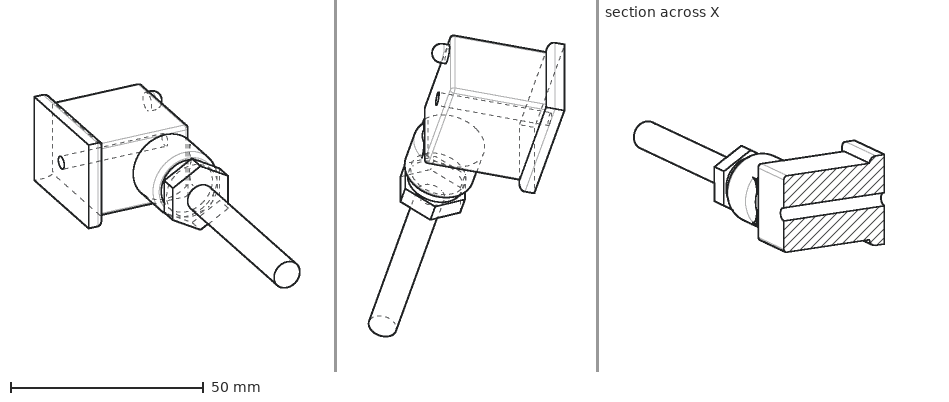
import cadquery as cq


plate_length = 31.5
plate_width = 24.2
plate_thickness = 4.5
plate_round = 1.9

housing_length = 28.3
housing_width = 20.7
housing_top = 30.0
housing_round = 1.0
screw_hole_diameter = 3.4

lamp_radius = 2.5
lamp_height = 34.0
lamp_x = -10.15
lamp_z = 6.5

gland_axis_y = 23.0
collar_diameter = 18.5
collar_inner_round = 2.1
collar_outer_round = 1.2
neck_diameter = 14.8
nut_across_corners = 18.5
cable_diameter = 7.5
collar_end_distance = 42.4
nut_start_distance = 45.4
nut_thickness = 5.0
overall_length = 100.4
plate_start_x = -plate_length / 2
housing_end_x = housing_length / 2
collar_end_x = plate_start_x + collar_end_distance
nut_start_x = plate_start_x + nut_start_distance
nut_end_x = nut_start_x + nut_thickness
cable_end_x = plate_start_x + overall_length


def block(length, width, height):
    """Block centred on the Y axis, standing on the XZ plane."""
    return cq.Workplane("XY").box(length, height, width).translate((0, height / 2, 0))


def gland_rod(diameter, start_x, end_x):
    """Cylinder on the gland axis between two X positions."""
    plane = cq.Workplane("YZ", origin=(start_x, gland_axis_y, 0))
    return plane.circle(diameter / 2).extrude(end_x - start_x)


def make_plate():
    plate = block(plate_length, plate_width, plate_thickness)
    return plate.faces(">Y").edges().fillet(plate_round)


def make_housing():
    housing = block(housing_length, housing_width, housing_top)
    return housing.edges("|Y or >Y").fillet(housing_round)


def make_lamp():
    """Round post with a hemispherical top, rooted inside the housing."""
    root_y = housing_top - housing_round
    dome_y = lamp_height - lamp_radius
    post = cq.Workplane("XZ", origin=(lamp_x, root_y, lamp_z)).circle(lamp_radius)
    post = post.extrude(root_y - dome_y)
    dome = cq.Workplane("XY").sphere(lamp_radius).translate((lamp_x, dome_y, lamp_z))
    return post.union(dome)


def make_collar():
    """Collar rounded at both ends, the inner rounding showing only above the housing."""
    collar = gland_rod(collar_diameter, housing_end_x, collar_end_x)
    collar = collar.faces(">X").edges().fillet(collar_outer_round)
    rounded_collar = collar.faces("<X").edges().fillet(collar_inner_round)
    full_depth = block(2 * collar_end_x, collar_diameter, housing_top)
    below_housing_top = collar.intersect(full_depth)
    return below_housing_top.union(rounded_collar)


def make_nut():
    """Hexagonal nut with two corners on the Z direction."""
    nut = cq.Workplane("YZ", origin=(nut_start_x, gland_axis_y, 0))
    nut = nut.transformed(rotate=(0, 0, 90)).polygon(6, nut_across_corners)
    return nut.extrude(nut_end_x - nut_start_x)


def make_screw_hole():
    hole = cq.Workplane("XZ").circle(screw_hole_diameter / 2)
    return hole.extrude(-housing_top)


result = (
    make_plate()
    .union(make_housing())
    .union(make_lamp())
    .union(make_collar())
    .union(gland_rod(neck_diameter, housing_end_x, nut_start_x))
    .union(make_nut())
    .union(gland_rod(cable_diameter, housing_end_x, cable_end_x))
    .cut(make_screw_hole())
)